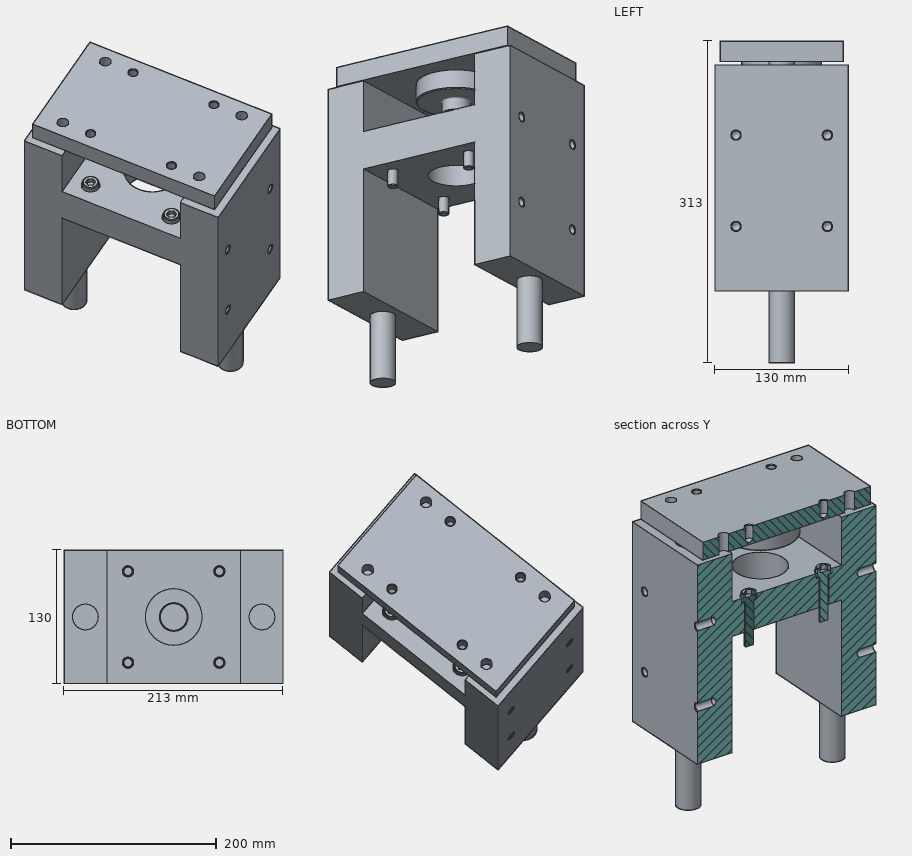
import cadquery as cq
import math

total_height = 313.0
plate_thickness = 20.0
plate_gap = 3.0
plate_top = total_height
plate_bottom = plate_top - plate_thickness

frame_length = 213.0
frame_width = 130.0
frame_height = 220.0
leg_spacing = 130.0
frame_top = plate_bottom - plate_gap
frame_bottom = frame_top - frame_height
upper_notch_depth = 53.0
crossbar_thickness = 39.0
crossbar_top = frame_top - upper_notch_depth
crossbar_bottom = crossbar_top - crossbar_thickness

crossbar_bore_diameter = 55.0

plate_length = 200.0
plate_width = 120.0

bolt_pitch = 89.0
clearance_diameter = 11.0
clearance_spacing = 150.0
drill_tip_angle = 118.0

plate_tap_diameter = 8.5
plate_tap_mouth = 10.0
plate_tap_depth = 15.0

leg_tap_diameter = 8.5
leg_tap_mouth = 10.0
leg_tap_depth = 20.0
leg_tap_center_depth = 112.7
leg_tap_center_z = frame_top - leg_tap_center_depth

rod_diameter = 25.0
rod_spacing = 171.8

flange_diameter = 78.0
flange_height = 19.0
spigot_diameter = 28.0
hub_height = 32.0
hub_chamfer = 1.0
spigot_fillet = 1.1

screw_length = 60.0
screw_diameter = 10.0
screw_tip_chamfer = 1.0
head_diameter = 16.0
head_height = 10.0
head_exposed = 4.5
head_chamfer = 1.0
hex_across_flats = 8.0
hex_turn = 30.0
hex_depth = 5.0
head_recess_diameter = 18.0
head_top = crossbar_top + head_exposed
head_seat = head_top - head_height


def cylinder(diameter, bottom, top, points=((0, 0),)):
    """Vertical cylinders between two heights, one at each point."""
    return (
        cq.Workplane("XY", origin=(0, 0, bottom))
        .pushPoints(points)
        .circle(diameter / 2)
        .extrude(top - bottom)
    )


def block(length, width, bottom, top):
    """Box centred on the Z axis between two heights."""
    return cq.Workplane("XY", origin=(0, 0, bottom)).rect(length, width).extrude(top - bottom)


def corner_points(spacing_u, spacing_v):
    """Four corners of a centred rectangle."""
    return [(u * spacing_u / 2, v * spacing_v / 2) for u in (-1, 1) for v in (-1, 1)]


def tapped_hole(diameter, mouth, depth):
    """Cutter for a blind hole entering at Z = 0: countersunk mouth, straight wall, drill-point tip."""
    radius = diameter / 2
    mouth_radius = mouth / 2
    tip_height = radius / math.tan(math.radians(drill_tip_angle / 2))
    return (
        cq.Workplane("XZ")
        .moveTo(0, 0)
        .lineTo(mouth_radius, 0)
        .lineTo(radius, radius - mouth_radius)
        .lineTo(radius, -depth)
        .lineTo(0, -depth - tip_height)
        .close()
        .revolve(360, (0, 0, 0), (0, 1, 0))
    )


screw_points = corner_points(bolt_pitch, bolt_pitch)
rod_points = [(-rod_spacing / 2, 0), (rod_spacing / 2, 0)]


def make_frame():
    """H-shaped frame with a central bore, rod bores, screw holes and tapped holes in both outer faces."""
    frame = block(frame_length, frame_width, frame_bottom, frame_top)
    frame = frame.cut(block(leg_spacing, frame_width, crossbar_top, frame_top))
    frame = frame.cut(block(leg_spacing, frame_width, frame_bottom, crossbar_bottom))

    frame = frame.cut(cylinder(crossbar_bore_diameter, crossbar_bottom, crossbar_top))
    frame = frame.cut(cylinder(rod_diameter, frame_bottom, frame_top, rod_points))
    frame = frame.cut(cylinder(clearance_diameter, crossbar_bottom, crossbar_top, screw_points))
    frame = frame.cut(cylinder(head_recess_diameter, head_seat, crossbar_top, screw_points))

    cutter = tapped_hole(leg_tap_diameter, leg_tap_mouth, leg_tap_depth)
    for side in (-1, 1):
        turned = cutter.rotate((0, 0, 0), (0, 1, 0), side * 90)
        for y, z in corner_points(bolt_pitch, bolt_pitch):
            frame = frame.cut(turned.translate((side * frame_length / 2, y, leg_tap_center_z + z)))
    return frame


def make_moving_plate():
    """Plate carrying the hub and both guide rods."""
    plate = block(plate_length, plate_width, plate_bottom, plate_top)
    hole_points = corner_points(clearance_spacing, bolt_pitch)
    plate = plate.cut(cylinder(clearance_diameter, plate_bottom, plate_top, hole_points))
    cutter = tapped_hole(plate_tap_diameter, plate_tap_mouth, plate_tap_depth)
    for x, y in corner_points(bolt_pitch, bolt_pitch):
        plate = plate.cut(cutter.translate((x, y, plate_top)))

    flange_bottom = plate_bottom - flange_height
    flange = cylinder(flange_diameter, flange_bottom, plate_bottom).faces("<Z").chamfer(hub_chamfer)
    spigot = cylinder(spigot_diameter, plate_bottom - hub_height, flange_bottom)
    spigot = spigot.faces("<Z").chamfer(hub_chamfer)
    hub = flange.union(spigot)
    root_edge = cq.selectors.RadiusNthSelector(0)
    hub = hub.faces("<Z[1]").edges(root_edge).fillet(spigot_fillet)
    rods = cylinder(rod_diameter, 0, plate_bottom, rod_points)
    return plate.union(hub).union(rods)


def make_screw(x, y):
    """Hex-socket cap screw standing on the head recess floor."""
    hex_corner_diameter = hex_across_flats / math.cos(math.radians(30))
    shank = cylinder(screw_diameter, head_top - screw_length, head_seat)
    shank = shank.faces("<Z").chamfer(screw_tip_chamfer)
    head = cylinder(head_diameter, head_seat, head_top).faces(">Z").chamfer(head_chamfer)
    socket = (
        cq.Workplane("XY", origin=(0, 0, head_top))
        .polygon(6, hex_corner_diameter)
        .extrude(-hex_depth)
        .rotate((0, 0, 0), (0, 0, 1), hex_turn)
    )
    return head.union(shank).cut(socket).translate((x, y, 0))


frame = make_frame()
moving_plate = make_moving_plate()
screws = [make_screw(x, y) for x, y in screw_points]

result = cq.Compound.makeCompound(
    [frame.val(), moving_plate.val(), *[screw.val() for screw in screws]]
)